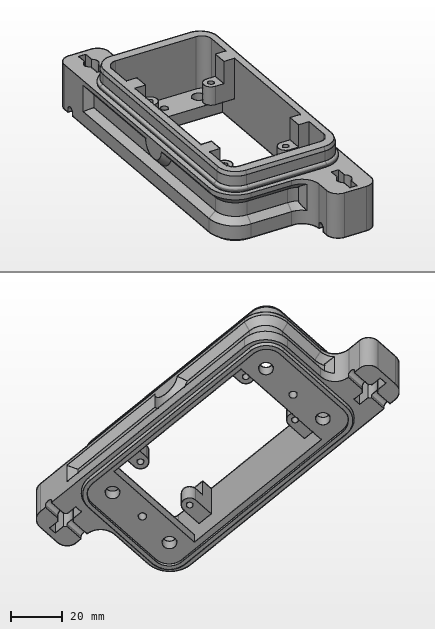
import cadquery as cq
import math

length = 145.0
width = 58.0
body_length = 107.9
body_corner = 11.9
ear_width = 20.0
ear_corner = 5.1
ear_fillet = 7.8
flange_bottom = 1.5
flange_top = 21.5

collar_length = 103.0
collar_width = 52.2
collar_corner = 8.4
collar_bevel_height = 1.7
collar_bevel_inset = 0.6
height = 30.3
bead_overhang = 1.2
bead_height = 2.6
foot_inset = 0.6
foot_rim_width = 1.7
bead_length = collar_length + 2 * bead_overhang
bead_width = collar_width + 2 * bead_overhang
bead_corner = collar_corner + bead_overhang

cavity_length = 93.7
cavity_width = 45.0
cavity_corner = 4.4
window_length = 68.2
pad_top = 6.8
pad_hole_diameter = 5.7
pad_hole_x = 41.2
pad_hole_y = 16.0
pin_hole_diameter = 3.2
pin_hole_x = 40.5

post_width = 6.5
post_x = 28.3
post_bottom = 12.0
post_ledge = 20.3
post_upper_depth = 4.8
lug_hole_y = 13.8
lug_hole_diameter = 2.6

groove_depth = 2.9
groove_bottom = 7.5
groove_floor_bottom = 10.2
groove_floor_top = 16.2
groove_top = 19.3
groove_end_x = 53.2
groove_end_slope = 3.2
groove_end_run = 4.0
groove_end_drop = 1.5
stop_face_radius = 6.0
stop_base_radius = 9.1

ear_hole_x = 63.1
ear_hole_y = 19.5
keyhole_diameter = 6.1
keyhole_slot_length = 14.0
keyhole_slot_width = 3.2
notch_width = 3.2
notch_top = 4.6


def arc_middle(radius):
    """Distance from the middle of a rounded corner to either of its straight sides."""
    return radius * (1 - math.sqrt(0.5))


def rounded_block(block_length, block_width, corner, bottom, top, inset=0):
    """Rounded rectangle extruded from bottom to top, shrinking by inset on the way."""
    outline = cq.Sketch().rect(block_length, block_width).vertices().fillet(corner)
    taper = math.degrees(math.atan2(inset, abs(top - bottom)))
    plane = cq.Workplane("XY").workplane(offset=bottom)
    return plane.placeSketch(outline).extrude(top - bottom, taper=taper)


def with_half_turn(solid):
    """Return the solid together with its copy turned 180 degrees about Z."""
    return solid.union(solid.rotate((0, 0, 0), (0, 0, 1), 180))


def flange_slab(bottom, top, taper=0):
    """Slab with the flange outline; a positive taper shrinks it away from bottom."""
    half_x = length / 2
    half_y = width / 2
    body_x = body_length / 2
    ear_y = half_y - ear_width
    fillet_middle = arc_middle(ear_fillet)
    body_middle = arc_middle(body_corner)
    ear_middle = arc_middle(ear_corner)
    outline = cq.Workplane("XY").workplane(offset=bottom)
    outline = outline.moveTo(-half_x + ear_corner, -half_y)
    for side in (1, -1):
        outline = (
            outline.lineTo(side * (body_x - body_corner), -side * half_y)
            .threePointArc(
                (side * (body_x - body_middle), -side * (half_y - body_middle)),
                (side * body_x, -side * (half_y - body_corner)),
            )
            .lineTo(side * body_x, side * (ear_y - ear_fillet))
            .threePointArc(
                (side * (body_x + fillet_middle), side * (ear_y - fillet_middle)),
                (side * (body_x + ear_fillet), side * ear_y),
            )
            .lineTo(side * (half_x - ear_corner), side * ear_y)
            .threePointArc(
                (side * (half_x - ear_middle), side * (ear_y + ear_middle)),
                (side * half_x, side * (ear_y + ear_corner)),
            )
            .lineTo(side * half_x, side * (half_y - ear_corner))
            .threePointArc(
                (side * (half_x - ear_middle), side * (half_y - ear_middle)),
                (side * (half_x - ear_corner), side * half_y),
            )
        )
    return outline.close().extrude(top - bottom, taper=taper)


def groove_floor():
    """Waisted slab that fills the flange outline inside the groove."""
    lower_taper = math.degrees(math.atan2(groove_depth, groove_floor_bottom - groove_bottom))
    upper_taper = math.degrees(math.atan2(groove_depth, groove_top - groove_floor_top))
    lower = flange_slab(groove_bottom, groove_floor_bottom, lower_taper)
    upper = flange_slab(groove_top, groove_floor_top, upper_taper)
    waist = lower.faces(">Z").wires().toPending().extrude(groove_floor_top - groove_floor_bottom)
    return lower.union(waist).union(upper)


def groove_ends():
    """Full-size ears, each with the two sloped walls where the groove runs out."""
    fillet_middle = arc_middle(ear_fillet)
    end_x = body_length / 2 + fillet_middle
    end_y = width / 2 - ear_width - fillet_middle
    ear = (
        cq.Workplane("XY")
        .workplane(offset=groove_bottom)
        .moveTo(groove_end_x - groove_end_slope, width / 2 - groove_depth)
        .lineTo(groove_end_x, width / 2)
        .lineTo(length / 2, width / 2)
        .lineTo(length / 2, end_y)
        .lineTo(end_x, end_y)
        .lineTo(end_x - groove_end_run, end_y - groove_end_drop)
        .close()
        .extrude(groove_top - groove_bottom)
    )
    return with_half_turn(ear).intersect(flange_slab(groove_bottom, groove_top))


def groove_stops():
    """Half-round conical stops hanging from the top of the groove on the long sides."""
    stop = (
        cq.Workplane("XZ", origin=(0, groove_depth - width / 2, groove_top))
        .circle(stop_base_radius)
        .workplane(offset=groove_depth)
        .circle(stop_face_radius)
        .loft()
    )
    return with_half_turn(stop).intersect(flange_slab(groove_bottom, groove_top))


def flange():
    slab = flange_slab(flange_bottom, groove_bottom)
    slab = slab.union(groove_floor())
    slab = slab.union(groove_ends())
    slab = slab.union(groove_stops())
    return slab.union(flange_slab(groove_top, flange_top))


def foot():
    """Rim around the underside, leaning inward and open in the middle."""
    block = rounded_block(bead_length, bead_width, bead_corner, flange_bottom, 0, foot_inset)
    margin = foot_inset + foot_rim_width
    recess = rounded_block(
        bead_length - 2 * margin, bead_width - 2 * margin, bead_corner - margin, 0, flange_bottom
    )
    return block.cut(recess)


def collar():
    """Upright collar with a beveled rim and a half-round sealing bead around its base."""
    bevel_bottom = height - collar_bevel_height
    size = (collar_length, collar_width, collar_corner)
    wall = rounded_block(*size, flange_top, bevel_bottom)
    bevel = rounded_block(*size, bevel_bottom, height, collar_bevel_inset)
    bead_top = flange_top + bead_height
    bead = rounded_block(bead_length, bead_width, bead_corner, flange_top, bead_top)
    bead = bead.edges("<Z or >Z").fillet(bead_overhang)
    return wall.union(bevel).union(bead)


def cavity():
    """Open cavity with a floor pad left at each end."""
    upper = rounded_block(cavity_length, cavity_width, cavity_corner, pad_top, height)
    window = cq.Workplane("XY").rect(window_length, cavity_width).extrude(pad_top)
    return upper.union(window)


def pad_holes():
    corners = [(x, y) for x in (-pad_hole_x, pad_hole_x) for y in (-pad_hole_y, pad_hole_y)]
    large = cq.Workplane("XY").pushPoints(corners).circle(pad_hole_diameter / 2)
    middles = [(-pin_hole_x, 0), (pin_hole_x, 0)]
    small = cq.Workplane("XY").pushPoints(middles).circle(pin_hole_diameter / 2)
    return large.extrude(pad_top).union(small.extrude(pad_top))


def post(x, side):
    """Post on one long wall: a tall back block and a lower round-ended screw lug."""
    wall_y = side * cavity_width / 2
    tip_y = side * lug_hole_y
    back_y = wall_y - side * post_upper_depth / 2
    lug_length = abs(wall_y - tip_y)
    base = cq.Workplane("XY").workplane(offset=post_bottom)
    back = base.center(x, back_y).rect(post_width, post_upper_depth).extrude(height - post_bottom)
    lug_height = post_ledge - post_bottom
    lug = base.center(x, (wall_y + tip_y) / 2).rect(post_width, lug_length).extrude(lug_height)
    tip = base.center(x, tip_y).circle(post_width / 2).extrude(lug_height)
    hole = base.center(x, tip_y).circle(lug_hole_diameter / 2).extrude(lug_height)
    return back.union(lug).union(tip).cut(hole)


def ear_openings():
    """Keyhole through each ear and a round-topped notch across its underside."""
    center = cq.Workplane("XY").center(ear_hole_x, ear_hole_y)
    keyhole = center.circle(keyhole_diameter / 2).extrude(flange_top)
    slot = center.rect(keyhole_slot_length, keyhole_slot_width).extrude(flange_top)
    notch_radius = notch_width / 2
    notch = (
        cq.Workplane("XZ")
        .moveTo(ear_hole_x - notch_radius, flange_bottom)
        .lineTo(ear_hole_x - notch_radius, notch_top - notch_radius)
        .threePointArc((ear_hole_x, notch_top), (ear_hole_x + notch_radius, notch_top - notch_radius))
        .lineTo(ear_hole_x + notch_radius, flange_bottom)
        .close()
        .extrude(-width / 2)
    )
    return with_half_turn(keyhole.union(slot).union(notch))


result = flange().union(foot()).union(collar())
result = result.cut(cavity()).cut(pad_holes()).cut(ear_openings())
for post_side in (-1, 1):
    for post_center_x in (-post_x, post_x):
        result = result.union(post(post_center_x, post_side))